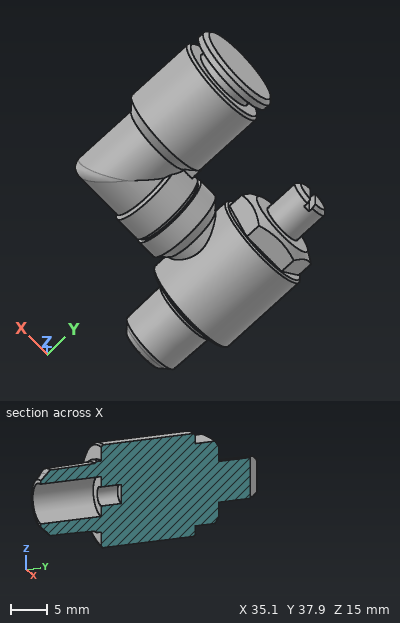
import cadquery as cq
import math


body_radius = 7.5
body_bottom = -7.5
body_top = 6.5
body_chamfer = 0.3
neck_radius = 5.2
neck_length = 0.55
relief_length = 0.45
thread_start_radius = 4.95
thread_end_radius = 4.8
thread_end = -15.0
thread_lead_radius = 4.2
thread_lead_length = 0.55
thread_tip_radius = 3.4
tip_y = -16.4
bore_radius = 2.85
bore_end = body_bottom
orifice_radius = 1.35
orifice_depth = 3.0

hex_flats = 12.0
hex_corner_radius = hex_flats / math.sqrt(3)
hex_top = 9.95
hex_top_radius = 5.1
hex_cone_angle = 32.0
screw_radius = 3.0
screw_top = 15.75
screw_chamfer = 0.6
slot_width = 1.0
slot_depth = 1.2

swivel_neck_radius = 4.5
collar_start = 7.65
collar_radius = 6.0
collar_end = 12.05
ring_gap = 0.1
ring_radius = 5.9
ring_end = 16.95
elbow_radius = 5.45
ring_chamfer = ring_radius - elbow_radius

elbow_x = 20.6
miter_fillet = 1.5
socket_radius = 7.0
socket_bottom = 7.55
socket_cone_bottom = socket_bottom - (socket_radius - elbow_radius)
socket_top = 18.45
socket_chamfer = 0.4
release_neck_radius = 4.65
release_neck_flare = 0.2
flange_radius = 6.75
flange_bottom = 19.95
flange_top = 21.5
flange_chamfer = 0.6
rib_thickness = 2.5


def turned_about_y(points, axis_x=0.0):
    """Revolve (radius, y) points, closed along the axis, about a line parallel to Y."""
    outline = [(0, points[0][1])] + points + [(0, points[-1][1])]
    solid = cq.Workplane("XY").polyline(outline).close().revolve(360, (0, 0), (0, 1))
    return solid.translate((axis_x, 0, 0))


def turned_about_x(points):
    """Revolve (x, radius) points, closed along the axis, about the X axis."""
    outline = [(points[0][0], 0)] + points + [(points[-1][0], 0)]
    return cq.Workplane("XY").polyline(outline).close().revolve(360, (0, 0), (1, 0))


def make_valve_body():
    thread_start = body_bottom - neck_length - relief_length
    return turned_about_y([
        (thread_tip_radius, tip_y),
        (thread_lead_radius, thread_end - thread_lead_length),
        (thread_end_radius, thread_end),
        (thread_start_radius, thread_start),
        (neck_radius, body_bottom - neck_length),
        (neck_radius, body_bottom),
        (body_radius - body_chamfer, body_bottom),
        (body_radius, body_bottom + body_chamfer),
        (body_radius, body_top - body_chamfer),
        (body_radius - body_chamfer, body_top),
    ])


def make_hexagon():
    """Hexagon with corners on the X direction and a conical chamfer on its top."""
    prism = (
        cq.Workplane("XZ", origin=(0, body_top, 0))
        .polygon(6, 2 * hex_corner_radius)
        .extrude(body_top - hex_top)
    )
    cone_drop = (hex_corner_radius - hex_top_radius) * math.tan(math.radians(hex_cone_angle))
    envelope = turned_about_y([
        (hex_corner_radius, body_top),
        (hex_corner_radius, hex_top - cone_drop),
        (hex_top_radius, hex_top),
    ])
    return prism.intersect(envelope)


def make_screw():
    screw = turned_about_y([
        (screw_radius, body_top),
        (screw_radius, screw_top - screw_chamfer),
        (screw_radius - screw_chamfer, screw_top),
    ])
    slot = (
        cq.Workplane("XY")
        .box(slot_width, 2 * slot_depth, 2 * screw_radius)
        .translate((0, screw_top, 0))
    )
    return screw.cut(slot)


def make_bore():
    """Blind bore from the threaded tip with a smaller orifice in its floor."""
    return turned_about_y([
        (bore_radius, tip_y),
        (bore_radius, bore_end),
        (orifice_radius, bore_end),
        (orifice_radius, bore_end + orifice_depth),
    ])


def make_swivel():
    ring_start = collar_end + ring_gap
    return turned_about_x([
        (0, swivel_neck_radius),
        (collar_start, swivel_neck_radius),
        (collar_start + collar_radius - swivel_neck_radius, collar_radius),
        (collar_end, collar_radius),
        (collar_end, elbow_radius),
        (ring_start, elbow_radius),
        (ring_start + ring_chamfer, ring_radius),
        (ring_end - ring_chamfer, ring_radius),
        (ring_end, elbow_radius),
    ])


def mitred_pipe(radius):
    """Two equal cylinders meeting on a 45 degree miter, with the axes crossing at (elbow_x, 0)."""
    run_length = elbow_x - collar_end
    reach = run_length + elbow_radius
    run = cq.Workplane("YZ", origin=(-run_length, 0, 0)).circle(radius).extrude(run_length + radius)
    rise = cq.Workplane("XZ", origin=(0, -radius, 0)).circle(radius).extrude(-radius - socket_bottom)
    run_side = (
        cq.Workplane("XY")
        .polyline([(-reach, reach), (reach, -reach), (-reach, -reach)])
        .close()
        .extrude(radius, both=True)
    )
    return run.intersect(run_side).union(rise.cut(run_side)).translate((elbow_x, 0, 0))


def make_elbow():
    """Mitred elbow whose outer miter edge is rounded by a ball of radius miter_fillet.

    The ball centre follows the half ellipse where two cylinders of the reduced core
    radius meet, so the rounding fades out towards the top and bottom of the miter.
    """
    core_radius = elbow_radius - miter_fillet
    miter_plane = cq.Plane(origin=(elbow_x, 0, 0), xDir=(1, -1, 0), normal=(-1, -1, 0))
    ball_path = cq.Workplane(miter_plane).ellipseArc(
        core_radius * math.sqrt(2), core_radius, -90, 90, startAtCurrent=False
    )
    path_edge = ball_path.val()
    start_plane = cq.Plane(
        origin=path_edge.startPoint().toTuple(), normal=path_edge.tangentAt(0).toTuple()
    )
    rounding = cq.Workplane(start_plane).circle(miter_fillet).sweep(ball_path)

    reach = 2
    corner_wedge = (
        cq.Workplane("XY", origin=(elbow_x, 0, 0))
        .polyline([
            (0, 0),
            (reach * core_radius, -reach * elbow_radius),
            (reach * elbow_radius, -reach * elbow_radius),
            (reach * elbow_radius, -reach * core_radius),
        ])
        .close()
        .extrude(2 * elbow_radius, both=True)
    )
    rounded_corner = rounding.union(mitred_pipe(core_radius)).intersect(corner_wedge)
    return mitred_pipe(elbow_radius).cut(corner_wedge).union(rounded_corner)


def make_socket():
    return turned_about_y([
        (elbow_radius, socket_cone_bottom),
        (socket_radius, socket_bottom),
        (socket_radius, socket_top - socket_chamfer),
        (socket_radius - socket_chamfer, socket_top),
        (release_neck_radius, socket_top),
        (release_neck_radius, flange_bottom - release_neck_flare),
        (release_neck_radius + release_neck_flare, flange_bottom),
        (flange_radius, flange_bottom),
        (flange_radius, flange_top - flange_chamfer),
        (flange_radius - flange_chamfer, flange_top),
    ], elbow_x)


def make_rib():
    """Flat web in the inside corner between the swivel ring and the socket."""
    return cq.Workplane("XY").box(
        socket_radius, socket_bottom, rib_thickness, centered=(False, False, True)
    ).translate((elbow_x - socket_radius, 0, 0))


features = [
    make_hexagon(),
    make_screw(),
    make_swivel(),
    make_elbow(),
    make_socket(),
    make_rib(),
]

result = make_valve_body()
for feature in features:
    result = result.union(feature)
result = result.cut(make_bore())